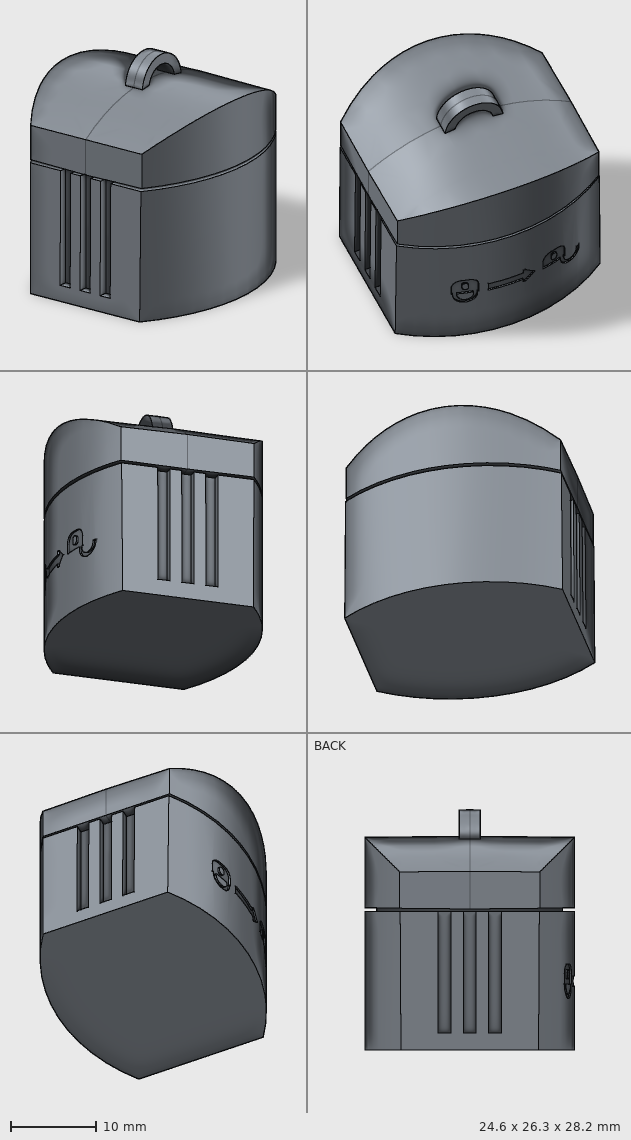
import cadquery as cq
import math

width = 24.6
base_length = 26.3
length = 26.05
crown = 4.15
half_length = length / 2
bulge_radius = (half_length**2 + crown**2) / (2 * crown)

total_height = 28.2
body_height = 16.27
gap = 0.28
lid_bottom = body_height + gap
eave_height = 20.95
neck_radius = 10.9
neck_overlap = 1.4

draft = 0.6
loop_radius = 3.75
loop_thickness = 1.27
loop_width = 2.5
loop_center = total_height - loop_radius

slot_width = 1.5
slot_pitch = 2.95
slot_depth = 1.0
slot_floor = 2.0

engraving_depth = 0.2
lock_spread = 5.7
lock_width = 3.15
lock_bottom = 7.72
lock_top = 10.1
lock_corner = 1.13
keyhole_width = 0.75
keyhole_height = 1.13
keyhole_center = 8.9
shackle_outer = 1.45
shackle_inner = 0.95
shackle_center = 7.5
arrow_half_length = 3.0
arrow_center = 8.1
arrow_shaft = 1.18
arrow_head = 2.05
arrow_head_length = 1.55
arrow_head_flat = 0.3


def barrel(side_half_width):
    """Full-height prism between two arcs bulging to -X and +X."""
    arc_center = side_half_width - bulge_radius
    tip = math.sqrt(bulge_radius**2 - arc_center**2)
    return (
        cq.Workplane("XY")
        .moveTo(0, -tip)
        .threePointArc((side_half_width, 0), (0, tip))
        .threePointArc((-side_half_width, 0), (0, -tip))
        .close()
        .extrude(total_height)
    )


def block(size_x, size_y, size_z, center_x, center_y, bottom):
    """Box standing on the height `bottom`."""
    box = cq.Workplane("XY").box(size_x, size_y, size_z, centered=(True, True, False))
    return box.translate((center_x, center_y, bottom))


def both_ways(profile, distance):
    """Extrude a YZ profile to both sides of X = 0, shrinking outwards."""
    half = profile.extrude(distance, taper=draft)
    return half.union(half.mirror("YZ"))


def make_body():
    foot = base_length / 2
    outline = [(-foot, 0), (foot, 0), (half_length, body_height), (-half_length, body_height)]
    trapezoid = cq.Workplane("YZ").polyline(outline).close().extrude(width / 2, both=True)
    return trapezoid.intersect(barrel(width / 2))


def make_lid():
    profile = (
        cq.Workplane("YZ")
        .moveTo(-half_length, lid_bottom)
        .lineTo(half_length, lid_bottom)
        .lineTo(half_length, eave_height)
        .threePointArc((0, eave_height + crown), (-half_length, eave_height))
        .close()
    )
    return both_ways(profile, width / 2).intersect(barrel(width / 2))


def make_neck():
    neck = cq.Workplane("XY").circle(neck_radius).extrude(gap + 2 * neck_overlap)
    return neck.translate((0, 0, body_height - neck_overlap))


def make_loop():
    disc = both_ways(cq.Workplane("YZ").center(0, loop_center).circle(loop_radius), loop_width / 2)
    opening = (
        cq.Workplane("YZ")
        .center(0, loop_center)
        .circle(loop_radius - loop_thickness)
        .extrude(loop_width, both=True)
    )
    return disc.cut(opening)


def make_slots():
    slots = cq.Workplane("XY")
    for end in (-1, 1):
        for column in (-1, 0, 1):
            slots = slots.union(
                block(
                    slot_width, 2 * slot_depth, body_height - slot_floor,
                    column * slot_pitch, end * half_length, slot_floor,
                )
            )
    return slots


def symbol_plane(y, z):
    """YZ sketch plane at the middle of the part, centred on (y, z)."""
    return cq.Workplane("YZ", origin=(0, y, z))


def make_padlock(y, shackle_shift):
    """Upside-down padlock; a shifted shackle shows it open."""
    lock_height = lock_top - lock_bottom
    case = (
        symbol_plane(y, lock_bottom + lock_height / 2)
        .rect(lock_width, lock_height)
        .extrude(-width)
        .edges("|X and >Z")
        .fillet(lock_corner)
    )
    keyhole = (
        symbol_plane(y, keyhole_center)
        .slot2D(keyhole_height, keyhole_width, 90)
        .extrude(-width)
    )

    def shackle_solid(radius):
        return (
            symbol_plane(y + shackle_shift, lock_bottom)
            .moveTo(-radius, 0)
            .lineTo(-radius, shackle_center - lock_bottom)
            .threePointArc(
                (0, shackle_center - lock_bottom - radius),
                (radius, shackle_center - lock_bottom),
            )
            .lineTo(radius, 0)
            .close()
            .extrude(-width)
        )

    shackle = shackle_solid(shackle_outer).cut(shackle_solid(shackle_inner))
    return case.cut(keyhole).union(shackle)


def make_arrow():
    """Arrow pointing to -Y, from the closed padlock to the open one."""
    head_start = arrow_head_length - arrow_half_length
    upper_half = [
        (arrow_half_length, arrow_shaft / 2),
        (head_start, arrow_shaft / 2),
        (head_start, arrow_head / 2),
        (head_start - arrow_head_flat, arrow_head / 2),
    ]
    lower_half = [(y, -z) for y, z in reversed(upper_half)]
    outline = upper_half + [(-arrow_half_length, 0)] + lower_half
    return symbol_plane(0, arrow_center).polyline(outline).close().extrude(-width)


def make_engraving():
    """Symbols limited to a thin layer that follows the bulging side."""
    open_shift = -(shackle_outer + shackle_inner)
    symbols = (
        make_arrow()
        .union(make_padlock(lock_spread, 0))
        .union(make_padlock(-lock_spread, open_shift))
    )
    return symbols.cut(barrel(width / 2 - engraving_depth))


body = make_body().cut(make_slots()).cut(make_engraving())
result = body.union(make_neck()).union(make_lid()).union(make_loop())